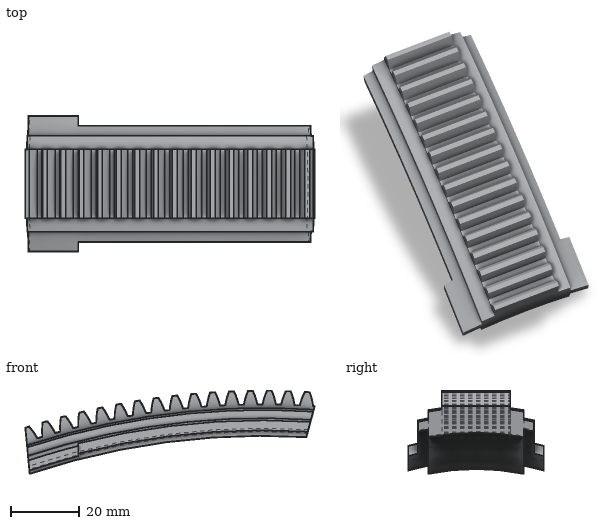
import cadquery as cq
import math


INNER_RADIUS = 215.4
FLANGE_BOTTOM_RADIUS = 217.65
FLANGE_TOP_RADIUS = 220.45
RAIL_TOP_RADIUS = 222.8
ROOT_RADIUS = 223.2
TIP_RADIUS = 227.2
CROWN_CENTER = 143.75

TOOTH_WIDTH = 20.1
RAIL_WIDTH = 28.0
FLANGE_WIDTH = 34.0
TAB_WIDTH = 39.7

TEETH_IN_FULL_RING = 258
TOOTH_PITCH = 360 / TEETH_IN_FULL_RING
LAST_TOOTH_ANGLE = 3.3
TOOTH_COUNT = 16
TIP_HALF_THICKNESS = 0.72
MIDDLE_HALF_THICKNESS = 1.48
ROOT_HALF_THICKNESS = 1.99
TOOTH_EMBED = 0.5

LEFT_END = (-68.0, 202.9)
LEFT_LEAN = -5.4
RIGHT_END = (12.8, 213.35)
RIGHT_LEAN = 15.0
TAB_END_X = -53.8

SWEEP_START = -25
SWEEP_END = 10
TRIM_BOTTOM = 186.0
TRIM_TOP = 236.8


def sweep_around_y(profile):
    """Revolve a profile drawn in the YZ plane from SWEEP_START to SWEEP_END."""
    solid = profile.revolve(SWEEP_END - SWEEP_START, (0, 0, 0), (1, 0, 0))
    return solid.rotate((0, 0, 0), (0, 1, 0), SWEEP_START)


def crowned_band(width, bottom_radius, top_radius):
    """Swept band whose top and bottom are arcs about the crown center."""
    half = width / 2

    def edge_height(radius):
        return CROWN_CENTER + math.sqrt((radius - CROWN_CENTER) ** 2 - half ** 2)

    profile = (
        cq.Workplane("YZ")
        .moveTo(-half, edge_height(bottom_radius))
        .threePointArc((0, bottom_radius), (half, edge_height(bottom_radius)))
        .lineTo(half, edge_height(top_radius))
        .threePointArc((0, top_radius), (-half, edge_height(top_radius)))
        .close()
    )
    return sweep_around_y(profile)


def tooth_base():
    """Flat-topped band that carries the teeth up to the root surface."""
    height = ROOT_RADIUS - FLANGE_TOP_RADIUS
    middle = (ROOT_RADIUS + FLANGE_TOP_RADIUS) / 2
    profile = cq.Workplane("YZ").center(0, middle).rect(TOOTH_WIDTH, height)
    solid = profile.revolve(SWEEP_END - SWEEP_START, (0, -middle, 0), (1, -middle, 0))
    return solid.rotate((0, 0, 0), (0, 1, 0), SWEEP_START)


def tooth(angle):
    """One tooth with bulged flanks, turned to its place on the ring."""
    middle_radius = (ROOT_RADIUS + TIP_RADIUS) / 2
    blank = (
        cq.Workplane("XZ")
        .moveTo(-ROOT_HALF_THICKNESS, ROOT_RADIUS - TOOTH_EMBED)
        .lineTo(-ROOT_HALF_THICKNESS, ROOT_RADIUS)
        .threePointArc((-MIDDLE_HALF_THICKNESS, middle_radius), (-TIP_HALF_THICKNESS, TIP_RADIUS))
        .lineTo(TIP_HALF_THICKNESS, TIP_RADIUS)
        .threePointArc((MIDDLE_HALF_THICKNESS, middle_radius), (ROOT_HALF_THICKNESS, ROOT_RADIUS))
        .lineTo(ROOT_HALF_THICKNESS, ROOT_RADIUS - TOOTH_EMBED)
        .close()
        .extrude(TOOTH_WIDTH / 2, both=True)
    )
    return blank.rotate((0, 0, 0), (0, 1, 0), angle)


def end_face_x(point, lean, z):
    """X position of a leaning end face at height z."""
    return point[0] + (z - point[1]) * math.tan(math.radians(lean))


def trim_block():
    """Prism between the two slanted end faces."""
    outline = [
        (end_face_x(LEFT_END, LEFT_LEAN, TRIM_BOTTOM), TRIM_BOTTOM),
        (end_face_x(RIGHT_END, RIGHT_LEAN, TRIM_BOTTOM), TRIM_BOTTOM),
        (end_face_x(RIGHT_END, RIGHT_LEAN, TRIM_TOP), TRIM_TOP),
        (end_face_x(LEFT_END, LEFT_LEAN, TRIM_TOP), TRIM_TOP),
    ]
    return cq.Workplane("XZ").polyline(outline).close().extrude(TAB_WIDTH, both=True)


body = crowned_band(RAIL_WIDTH, INNER_RADIUS, RAIL_TOP_RADIUS)
body = body.union(crowned_band(FLANGE_WIDTH, FLANGE_BOTTOM_RADIUS, FLANGE_TOP_RADIUS))

tab_length = TAB_END_X - end_face_x(LEFT_END, LEFT_LEAN, TRIM_TOP)
tab_zone = (
    cq.Workplane("XY")
    .box(tab_length, TAB_WIDTH, TRIM_TOP - TRIM_BOTTOM, centered=(False, True, False))
    .translate((TAB_END_X - tab_length, 0, TRIM_BOTTOM))
)
tabs = crowned_band(TAB_WIDTH, FLANGE_BOTTOM_RADIUS, FLANGE_TOP_RADIUS).intersect(tab_zone)
body = body.union(tabs)

body = body.union(tooth_base())
for index in range(TOOTH_COUNT):
    body = body.union(tooth(LAST_TOOTH_ANGLE - index * TOOTH_PITCH))

result = body.intersect(trim_block())